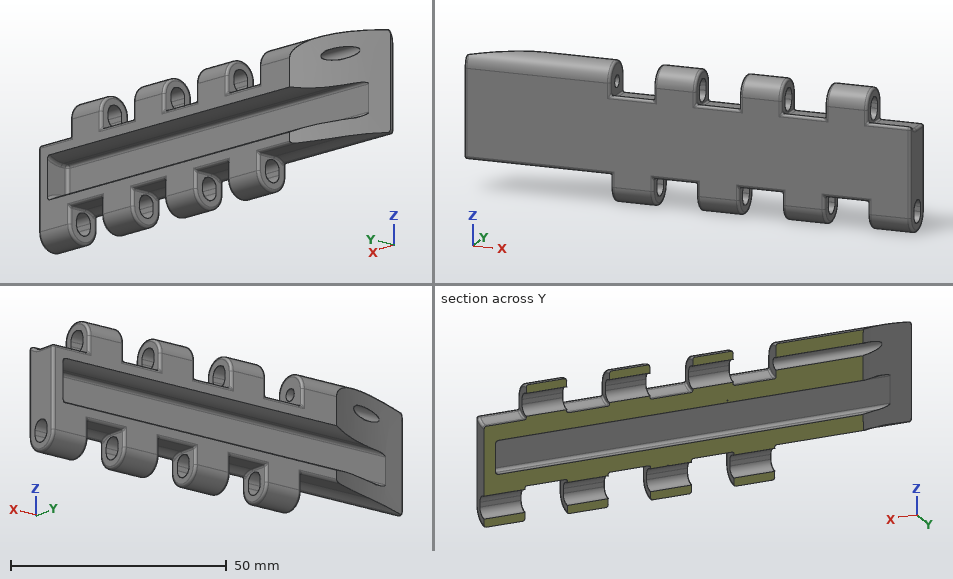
import cadquery as cq
import math

length = 110.8
thickness = 8.8
height = 33.7
mid_y = thickness / 2
axis_inset = thickness / 2
margin = 1.1
tolerance = 0.01

pitch = 21.3
upper_first_end = 36.2
upper_width = 10.4
upper_count = 4
lower_width = 10.5
lower_count = 4

floor_radius = 4.2
floor_axis_y = mid_y - 0.5
floor_inset = axis_inset + floor_radius

hole_inset = 5.0
slot_width = 4.3
slot_height = 5.5
pin_hole_diameter = 3.0

tip_thickness = 1.1
taper_length = 25.9
taper_sag = 0.8

pocket_skin = 2.3
pocket_radius = 8.3
pocket_end_wall = 3.0

edge_fillet = 0.7
corner_fillet = 0.4
pocket_fillet = 0.8


def yz_sketch(start_x):
    return cq.Workplane("YZ", origin=(start_x, 0, 0))


def flipped(solid):
    """Swap the lower and upper sides of the leaf."""
    return solid.mirror("XY", (0, 0, height / 2))


def lower_gap(start_x, end_x):
    """Space below the leaf: flat towards the back, concave towards the front."""
    front_y = floor_axis_y - floor_radius
    back_y = thickness + margin
    return (
        yz_sketch(start_x)
        .moveTo(back_y, -margin)
        .lineTo(back_y, floor_inset)
        .lineTo(floor_axis_y, floor_inset)
        .radiusArc((front_y, axis_inset), -floor_radius)
        .lineTo(front_y, -margin)
        .close()
        .extrude(end_x - start_x)
    )


def knuckled_leaf():
    """Bar with rounded long edges, notched along both of them."""
    leaf = yz_sketch(0).center(mid_y, height / 2).slot2D(height, thickness, 90).extrude(length)
    for index in range(lower_count):
        gap_end = length - lower_width - index * pitch
        is_last = index == lower_count - 1
        gap_start = -margin if is_last else gap_end - pitch + lower_width
        leaf = leaf.cut(lower_gap(gap_start, gap_end))
    for index in range(upper_count):
        gap_start = upper_first_end + index * pitch
        is_last = index == upper_count - 1
        gap_end = length + margin if is_last else gap_start + pitch - upper_width
        leaf = leaf.cut(flipped(lower_gap(gap_start, gap_end)))
    return leaf


def is_lengthwise(edge):
    return edge.BoundingBox().xlen > margin


def is_smooth_seam(edge):
    """Lengthwise edge where a round runs tangentially into a flat."""
    center = edge.Center()
    on_axis_plane = min(abs(center.y - mid_y), abs(center.y - floor_axis_y)) < tolerance
    on_axis_level = abs(abs(center.z - height / 2) - (height / 2 - axis_inset)) < tolerance
    return is_lengthwise(edge) and (on_axis_plane or on_axis_level)


def is_inner_corner(edge):
    """Edge where the side of a knuckle meets the floor of a gap."""
    point = edge.positionAt(0.5)
    inset = min(point.z, height - point.z)
    axis_distance = math.hypot(point.y - floor_axis_y, inset - axis_inset)
    on_floor = min(abs(inset - floor_inset), abs(axis_distance - floor_radius)) < tolerance
    inside = tolerance < point.x < length - tolerance
    return on_floor and inside and not is_lengthwise(edge)


def soften(leaf):
    """Round the outer edges, then the corners between knuckles and floors."""
    outer = [e for e in leaf.edges().vals() if not is_smooth_seam(e) and not is_inner_corner(e)]
    leaf = leaf.newObject(outer).fillet(edge_fillet)
    inner = [e for e in leaf.edges().vals() if is_inner_corner(e)]
    return leaf.newObject(inner).fillet(corner_fillet)


def taper_cutter():
    """Space behind the concave sweep that thins the leaf towards its tip."""
    return (
        cq.Workplane("XY")
        .moveTo(-margin, tip_thickness)
        .lineTo(0, tip_thickness)
        .sagittaArc((taper_length, thickness), -taper_sag)
        .lineTo(taper_length, thickness + margin)
        .lineTo(-margin, thickness + margin)
        .close()
        .extrude(height)
    )


def pocket_cutter():
    """Hollow open at the back, with side walls concentric with the rounded long edges."""
    low_z = axis_inset + pocket_radius
    high_z = height - low_z
    back_y = thickness + margin
    wall_flare = pocket_radius - math.sqrt(pocket_radius**2 - (back_y - mid_y) ** 2)
    return (
        yz_sketch(-margin)
        .moveTo(pocket_skin, low_z)
        .lineTo(mid_y, low_z)
        .radiusArc((back_y, low_z - wall_flare), pocket_radius)
        .lineTo(back_y, high_z + wall_flare)
        .radiusArc((mid_y, high_z), pocket_radius)
        .lineTo(pocket_skin, high_z)
        .close()
        .extrude(length - pocket_end_wall + margin)
        .edges("(|X and <Y) or (>X and (not >Y))")
        .fillet(pocket_fillet)
    )


def hinge_slot(start_x, center_z):
    return (
        yz_sketch(start_x)
        .center(mid_y, center_z)
        .slot2D(slot_height, slot_width, 90)
        .extrude(length - start_x)
    )


def pin_hole():
    """Narrow hole through the long upper knuckle at the tapered end."""
    hole = yz_sketch(0).center(mid_y, height - hole_inset)
    return hole.circle(pin_hole_diameter / 2).extrude(length)


leaf = soften(knuckled_leaf())
leaf = leaf.cut(taper_cutter()).cut(pocket_cutter())
leaf = leaf.cut(hinge_slot(0, hole_inset))
leaf = leaf.cut(hinge_slot(upper_first_end, height - hole_inset))
result = leaf.cut(pin_hole())